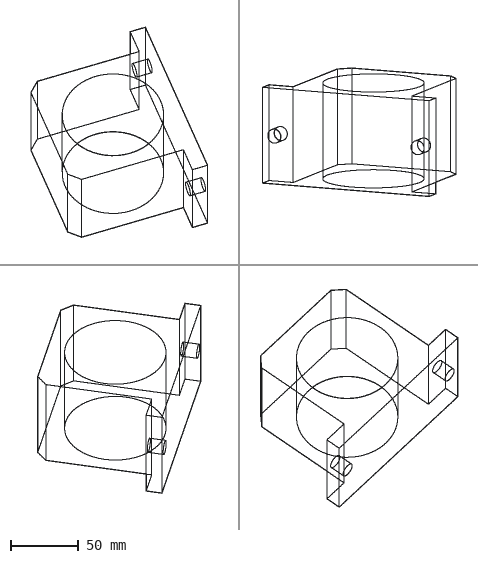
import cadquery as cq

height = 72.0
depth = 100.0
flange_width = 135.0

body_width = 96.0
flange_thickness = 12.0
corner_chamfer = 8.0

bore_diameter = 75.0
mount_hole_diameter = 10.5
mount_hole_spacing = 116.0

back_y = depth / 2


def make_body():
    """Rectangular block with its two front vertical edges chamfered."""
    block = cq.Workplane("XY").box(body_width, depth, height)
    return block.faces("<Y").edges("|Z").chamfer(corner_chamfer)


def make_flange():
    """Wide plate flush with the back of the body."""
    center_y = back_y - flange_thickness / 2
    plate = cq.Workplane("XY").box(flange_width, flange_thickness, height)
    return plate.translate((0, center_y, 0))


def make_bore():
    """Vertical cutter running the full height of the body."""
    return cq.Workplane("XY").circle(bore_diameter / 2).extrude(height / 2, both=True)


def make_mount_holes():
    """Pair of cutters along Y, one through each flange ear."""
    half_spacing = mount_hole_spacing / 2
    centers = [(-half_spacing, 0), (half_spacing, 0)]
    plane = cq.Workplane("XZ", origin=(0, back_y, 0))
    return plane.pushPoints(centers).circle(mount_hole_diameter / 2).extrude(flange_thickness)


result = make_body().union(make_flange()).cut(make_bore()).cut(make_mount_holes())